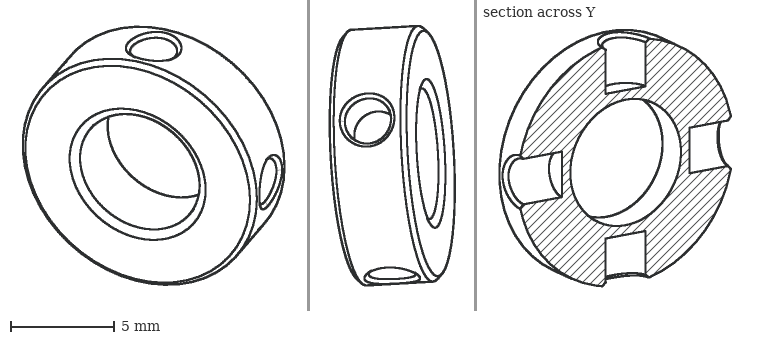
import cadquery as cq
import math

outer_diameter = 12.446
bore_diameter = 6.35
width = 3.81
rim_chamfer = 0.254

bore_chamfer_depth = 0.254
bore_chamfer_angle = 60
bore_chamfer_rise = bore_chamfer_depth * math.tan(math.radians(bore_chamfer_angle))

hole_count = 4
hole_diameter = 2.286
hole_depth = 2.54
hole_chamfer = 0.21

outer_radius = outer_diameter / 2
bore_radius = bore_diameter / 2
hole_radius = hole_diameter / 2


def make_collar():
    """Ring chamfered at rim and bore, revolved about the Y axis."""
    half_width = width / 2
    profile = [
        (bore_radius, -half_width + bore_chamfer_depth),
        (bore_radius + bore_chamfer_rise, -half_width),
        (outer_radius - rim_chamfer, -half_width),
        (outer_radius, -half_width + rim_chamfer),
        (outer_radius, half_width - rim_chamfer),
        (outer_radius - rim_chamfer, half_width),
        (bore_radius + bore_chamfer_rise, half_width),
        (bore_radius, half_width - bore_chamfer_depth),
    ]
    return cq.Workplane("XY").polyline(profile).close().revolve(360, (0, 0), (0, 1))


def add_top_hole(collar):
    """Cut a blind hole down from +Z and chamfer its mouth along the curved rim."""
    cutter = (
        cq.Workplane("XY")
        .workplane(offset=outer_radius - hole_depth)
        .circle(hole_radius)
        .extrude(hole_depth)
    )
    mouth_box = cq.selectors.BoxSelector(
        (-hole_diameter, -hole_diameter, outer_radius - hole_radius),
        (hole_diameter, hole_diameter, outer_radius + hole_radius),
        boundingbox=True,
    )
    return collar.cut(cutter).edges(mouth_box).chamfer(hole_chamfer)


result = make_collar()
for _ in range(hole_count):
    result = add_top_hole(result).rotate((0, 0, 0), (0, 1, 0), 360 / hole_count)